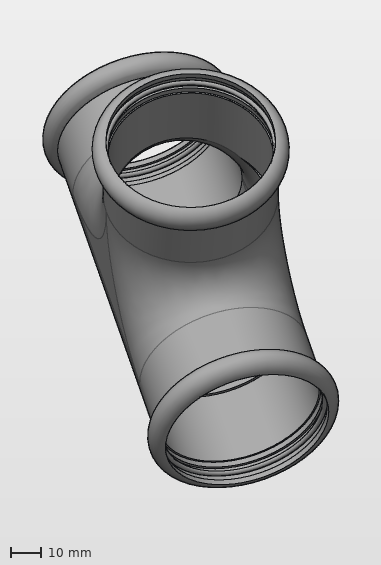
import cadquery as cq

end_reach = 69.0
tube_diameter = 57.5
passage_diameter = 52.6
insert_diameter = 54.5
insert_stop = 31.7
bead_diameter = 64.7
bead_width = 9.7
bend_radius = 40.8
mouth_diameter = 55.6
lip_width = 2.1
seal_diameter = 54.1
seal_thickness = 1.7
seal_overlap = 0.07

tube_radius = tube_diameter / 2
passage_radius = passage_diameter / 2
insert_radius = insert_diameter / 2
mouth_radius = mouth_diameter / 2
bead_round = bead_width / 2
bead_centre = bead_diameter / 2 - bead_round
bead_start = end_reach - bead_width
bead_middle = end_reach - bead_round
seal_centre = (seal_diameter + seal_thickness) / 2
groove_radius = seal_diameter / 2 + seal_thickness - seal_overlap
groove_start = bead_start + lip_width
groove_width = bead_width - 2 * lip_width

X_AXIS = cq.Vector(1, 0, 0)
Z_AXIS = cq.Vector(0, 0, 1)
ARM_DIRECTIONS = (X_AXIS, -X_AXIS, Z_AXIS)


def cylinder(radius, start, length, direction):
    """Cylinder along one arm, starting at a distance from the tee centre."""
    return cq.Workplane(cq.Solid.makeCylinder(radius, length, direction * start, direction))


def elbow(radius, side):
    """Quarter-torus blend from the branch to one side of the run."""
    return (
        cq.Workplane("XY", origin=(0, 0, bend_radius))
        .circle(radius)
        .revolve(90, (side * bend_radius, 0, 0), (side * bend_radius, -side, 0))
    )


def web(half_width):
    """Flat-sided filling between the centrelines of the two elbows."""
    arc_offset = bend_radius * (1 - 0.5**0.5)
    return (
        cq.Workplane("XZ")
        .moveTo(-bend_radius, 0)
        .lineTo(bend_radius, 0)
        .threePointArc((arc_offset, arc_offset), (0, bend_radius))
        .threePointArc((-arc_offset, arc_offset), (-bend_radius, 0))
        .close()
        .extrude(half_width, both=True)
    )


def tee(radius, reach):
    """Solid tee of one radius, with blended corners between branch and run."""
    solid = cylinder(radius, -reach, 2 * reach, X_AXIS)
    solid = solid.union(cylinder(radius, bend_radius, reach - bend_radius, Z_AXIS))
    solid = solid.union(web(radius))
    for side in (-1, 1):
        solid = solid.union(elbow(radius, side))
    return solid


def bead(direction):
    """Solid round-edged collar closing one arm."""
    across = cq.Vector(0, 1, 0)
    plane = cq.Plane(origin=(0, 0, 0), xDir=across, normal=across.cross(direction))
    return (
        cq.Workplane(plane)
        .moveTo(0, bead_start)
        .lineTo(bead_centre, bead_start)
        .threePointArc((bead_centre + bead_round, bead_middle), (bead_centre, end_reach))
        .lineTo(0, end_reach)
        .close()
        .revolve(360, (0, 0, 0), (0, 1, 0))
    )


def seal(direction):
    """Round-section ring seated in the groove of one arm."""
    return cq.Workplane(
        cq.Solid.makeTorus(seal_centre, seal_thickness / 2, direction * bead_middle, direction)
    )


result = tee(tube_radius, bead_middle)
for arm in ARM_DIRECTIONS:
    result = result.union(bead(arm))

result = result.cut(tee(passage_radius, end_reach))
for arm in ARM_DIRECTIONS:
    result = result.cut(cylinder(insert_radius, insert_stop, end_reach - insert_stop, arm))
    result = result.cut(cylinder(mouth_radius, bead_start, bead_width, arm))
    result = result.cut(cylinder(groove_radius, groove_start, groove_width, arm))

for arm in ARM_DIRECTIONS:
    result = result.union(seal(arm))